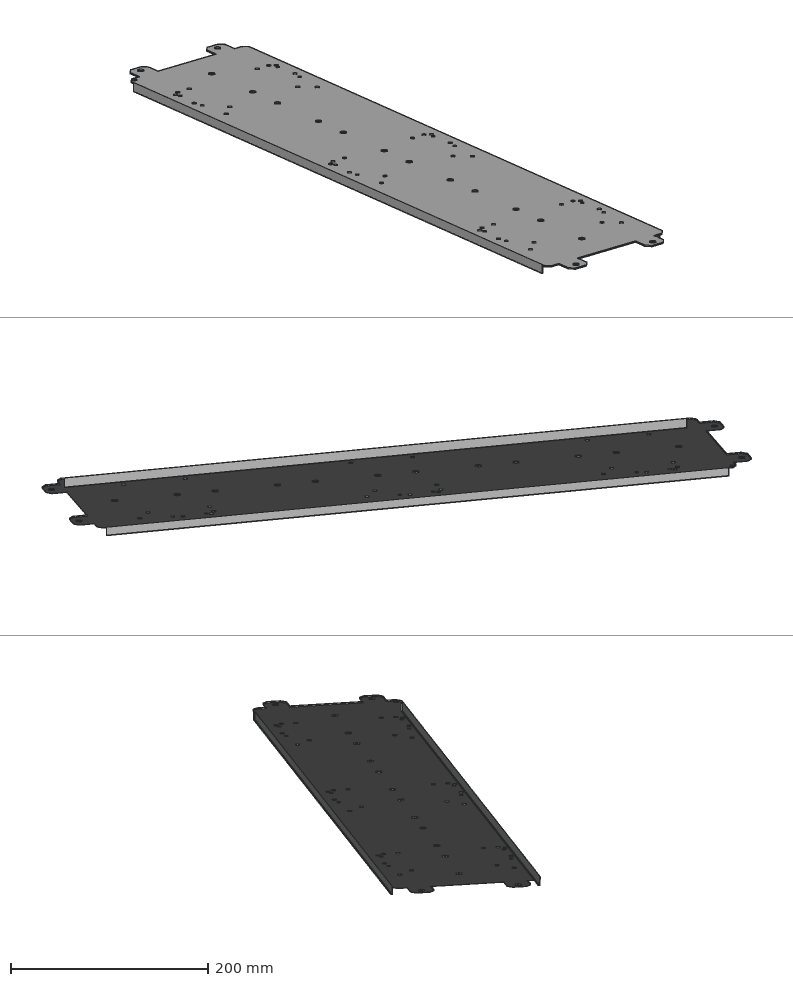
import cadquery as cq

overall_length = 716.0
width = 155.0
height = 10.0
sheet = 1.5

plate_length = 675.0
plate_corner_chamfer = 5.0
flange_length = 657.0

tab_width = 24.0
tab_y = 50.0
tab_corner_chamfer = 5.0
tab_hole_x = 350.0
tab_hole_diameter = 6.5

pair_pitch = 106.0
pair_spacing = 66.0
pair_count = 6
row_hole_diameter = 6.5

group_starts = (-279.0, -29.0, 210.5)
fixing_offsets = ((4.0, 66.0), (34.5, 66.0), (0, 59.5), (78.0, 59.5), (0, 44.5), (65.0, 44.5))
fixing_diameter = 4.0
pilot_offsets = ((9.0, 64.0), (44.5, 64.0))
pilot_diameter = 3.5

marker_position = (-334.0, -71.5)
marker_diameter = 5.0

plate_bottom = height - sheet


def make_plate():
    """Flat top plate with chamfered corners."""
    return (
        cq.Workplane("XY", origin=(0, 0, plate_bottom))
        .rect(plate_length, width)
        .extrude(sheet)
        .edges("|Z")
        .chamfer(plate_corner_chamfer)
    )


def make_tabs(y):
    """Strip along the whole part whose chamfered ends form two opposite tabs."""
    return (
        cq.Workplane("XY", origin=(0, y, plate_bottom))
        .rect(overall_length, tab_width)
        .extrude(sheet)
        .edges("|Z")
        .chamfer(tab_corner_chamfer)
    )


def make_flange(side):
    """Lip hanging from one long edge of the plate; side is 1 or -1."""
    middle_y = side * (width - sheet) / 2
    return cq.Workplane("XY", origin=(0, middle_y, 0)).rect(flange_length, sheet).extrude(plate_bottom)


def drill(body, points, diameter):
    """Cut round through holes in the plate at the given points."""
    holes = (
        cq.Workplane("XY", origin=(0, 0, plate_bottom))
        .pushPoints(points)
        .circle(diameter / 2)
        .extrude(sheet)
    )
    return body.cut(holes)


def group_points(offsets):
    """Places of one hole pattern in every group, on both sides of the centre line."""
    return [
        (start + dx, side * y)
        for start in group_starts
        for dx, y in offsets
        for side in (1, -1)
    ]


row_points = [
    ((index - (pair_count - 1) / 2) * pair_pitch + end * pair_spacing / 2, 0)
    for index in range(pair_count)
    for end in (-1, 1)
]
tab_points = [(x, y) for x in (-tab_hole_x, tab_hole_x) for y in (-tab_y, tab_y)]

body = make_plate()
for side in (1, -1):
    body = body.union(make_tabs(side * tab_y))
    body = body.union(make_flange(side))

body = drill(body, row_points, row_hole_diameter)
body = drill(body, tab_points, tab_hole_diameter)
body = drill(body, group_points(fixing_offsets), fixing_diameter)
body = drill(body, group_points(pilot_offsets), pilot_diameter)
body = drill(body, [marker_position], marker_diameter)

result = body